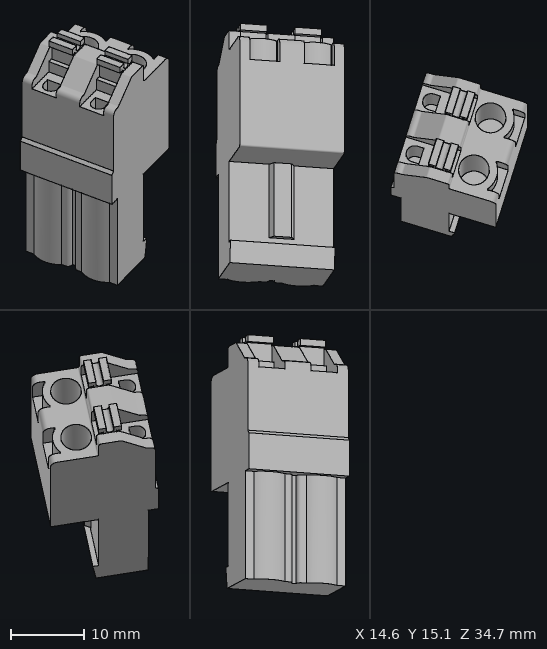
import cadquery as cq
import math


width = 14.62
depth = 15.05
pole_pitch = 7.6
pole_positions = (-pole_pitch / 2, pole_pitch / 2)

body_front = 0.45
slope_foot_y = 1.63
slope_top_y = 5.17
tower_back = 8.35
plug_front = 1.45
latch_tip_y = 9.15
latch_foot_y = 8.7

tower_top = 33.6
shelf_z = 30.7
nose_slope_top = 20.45
nose_slope_foot = 20.0
nose_bottom = 15.0
rear_bottom = 14.65
latch_top = 3.1
latch_slope_top = 2.65

front_round = 0.87
rear_round = 0.97
tower_back_round = 0.4
tower_base_round = 0.25
slope_round = 0.35
rear_bottom_round = 0.3

dome_half_width = 2.22
dome_rise = 0.7
groove_half_width = 0.95
groove_round = 0.6
groove_depth = 0.75
back_rib_bottom = 4.1
back_rib_base = 3.47
back_rib_side_angle = 33.0

pocket_width = 3.82
ledge_front = 4.85
ledge_z = 31.15
pocket_floor = 29.38

wire_hole_diameter = 4.17
wire_hole_y = 10.8
wire_hole_depth = 10.42
test_hole_width = 2.3
test_hole_back = 3.3
test_hole_arc_y = 2.33
test_hole_depth = 6.95
recess_arc_radius = 3.23
recess_corner = 0.1
recess_depth = 3.47

lever_top = 34.73
lever_width = 3.7
head_depth = 3.15
head_bottom = 33.75
stem_depth = 1.77
slot_width = 1.05
slot_wall_depth = 0.73
slot_round_depth = 0.35
lever_y = ledge_front + head_depth / 2


def make_housing_block():
    """Side profile extruded over the full width, with the edges along X rounded."""
    block = (
        cq.Workplane("YZ")
        .workplane(offset=-width / 2)
        .moveTo(plug_front, 0)
        .lineTo(latch_foot_y, 0)
        .lineTo(latch_tip_y, latch_slope_top)
        .lineTo(latch_tip_y, latch_top)
        .lineTo(tower_back, latch_top)
        .lineTo(tower_back, rear_bottom)
        .lineTo(depth, rear_bottom)
        .lineTo(depth, shelf_z)
        .lineTo(tower_back, shelf_z)
        .lineTo(tower_back, tower_top)
        .lineTo(slope_top_y, tower_top)
        .lineTo(slope_foot_y, shelf_z)
        .lineTo(body_front, shelf_z)
        .lineTo(body_front, nose_slope_top)
        .lineTo(0, nose_slope_foot)
        .lineTo(0, nose_bottom)
        .lineTo(plug_front, nose_bottom)
        .close()
        .extrude(width)
    )
    rounds = [
        (depth, rear_bottom, rear_bottom_round),
        (depth, shelf_z, rear_round),
        (tower_back, shelf_z, tower_base_round),
        (tower_back, tower_top, tower_back_round),
        (slope_top_y, tower_top, slope_round),
        (slope_foot_y, shelf_z, slope_round),
        (body_front, shelf_z, front_round),
    ]
    for y, z, radius in rounds:
        edge = cq.selectors.NearestToPointSelector((0, y, z))
        block = block.edges(edge).fillet(radius)
    return block


def make_dome(x):
    """Shallow cylindrical bulge on the front of the plug."""
    return (
        cq.Workplane("XY")
        .moveTo(x - dome_half_width, plug_front)
        .threePointArc((x, plug_front - dome_rise), (x + dome_half_width, plug_front))
        .close()
        .extrude(nose_bottom)
    )


def make_groove():
    """Groove with rounded lips, between the two domes."""
    floor_half_width = groove_half_width - groove_round
    lip_y = plug_front + groove_round
    floor_y = plug_front + groove_depth
    return (
        cq.Workplane("XY")
        .moveTo(-groove_half_width, plug_front)
        .radiusArc((-floor_half_width, lip_y), -groove_round)
        .lineTo(-floor_half_width, floor_y)
        .lineTo(floor_half_width, floor_y)
        .lineTo(floor_half_width, lip_y)
        .radiusArc((groove_half_width, plug_front), -groove_round)
        .close()
        .extrude(nose_bottom)
    )


def make_back_rib():
    """Tapered guide rib on the back of the plug, above the latch."""
    rise = latch_tip_y - tower_back
    base_half = back_rib_base / 2
    tip_half = base_half - rise * math.tan(math.radians(back_rib_side_angle))
    return (
        cq.Workplane("XY")
        .workplane(offset=back_rib_bottom)
        .moveTo(-base_half, tower_back)
        .lineTo(base_half, tower_back)
        .lineTo(tip_half, latch_tip_y)
        .lineTo(-tip_half, latch_tip_y)
        .close()
        .extrude(rear_bottom - back_rib_bottom)
    )


def make_pocket(x):
    """Stepped pocket: a ledge for the lever at the back and a lower floor at the front."""
    return (
        cq.Workplane("YZ")
        .workplane(offset=x - pocket_width / 2)
        .moveTo(0, pocket_floor)
        .lineTo(ledge_front, pocket_floor)
        .lineTo(ledge_front, ledge_z)
        .lineTo(tower_back, ledge_z)
        .lineTo(tower_back, tower_top)
        .lineTo(0, tower_top)
        .close()
        .extrude(pocket_width)
    )


def make_wire_hole(x):
    """Round blind hole in the shelf."""
    return (
        cq.Workplane("XY")
        .workplane(offset=shelf_z)
        .center(x, wire_hole_y)
        .circle(wire_hole_diameter / 2)
        .extrude(-wire_hole_depth)
    )


def make_test_hole(x):
    """D-shaped blind hole in the pocket floor, round towards the front."""
    radius = test_hole_width / 2
    return (
        cq.Workplane("XY")
        .workplane(offset=pocket_floor)
        .moveTo(x - radius, test_hole_back)
        .lineTo(x - radius, test_hole_arc_y)
        .threePointArc((x, test_hole_arc_y - radius), (x + radius, test_hole_arc_y))
        .lineTo(x + radius, test_hole_back)
        .close()
        .extrude(-test_hole_depth)
    )


def make_back_recess(x):
    """Recess in the top back edge, curved around the wire hole, with bevelled corners."""
    half_width = wire_hole_diameter / 2
    arc_half_width = half_width - recess_corner
    arc_end_y = wire_hole_y + math.sqrt(recess_arc_radius**2 - arc_half_width**2)
    side_end_y = arc_end_y + recess_corner
    return (
        cq.Workplane("XY")
        .workplane(offset=shelf_z)
        .moveTo(x - half_width, depth)
        .lineTo(x - half_width, side_end_y)
        .lineTo(x - arc_half_width, arc_end_y)
        .threePointArc((x, wire_hole_y + recess_arc_radius), (x + arc_half_width, arc_end_y))
        .lineTo(x + half_width, side_end_y)
        .lineTo(x + half_width, depth)
        .close()
        .extrude(-recess_depth)
    )


def make_housing():
    body = make_housing_block().cut(make_groove()).union(make_back_rib())
    for x in pole_positions:
        body = body.union(make_dome(x))
        body = body.cut(make_pocket(x))
        body = body.cut(make_wire_hole(x))
        body = body.cut(make_test_hole(x))
        body = body.cut(make_back_recess(x))
    return body


def make_lever(x):
    """T-shaped lever standing on the pocket ledge, with a round-bottomed slot across its head."""
    head_half = head_depth / 2
    stem_half = stem_depth / 2
    slot_half = slot_width / 2
    slot_wall_end = lever_top - slot_wall_depth
    return (
        cq.Workplane("YZ")
        .workplane(offset=x - lever_width / 2)
        .moveTo(lever_y - stem_half, ledge_z)
        .lineTo(lever_y + stem_half, ledge_z)
        .lineTo(lever_y + stem_half, head_bottom)
        .lineTo(lever_y + head_half, head_bottom)
        .lineTo(lever_y + head_half, lever_top)
        .lineTo(lever_y + slot_half, lever_top)
        .lineTo(lever_y + slot_half, slot_wall_end)
        .threePointArc(
            (lever_y, slot_wall_end - slot_round_depth),
            (lever_y - slot_half, slot_wall_end),
        )
        .lineTo(lever_y - slot_half, lever_top)
        .lineTo(lever_y - head_half, lever_top)
        .lineTo(lever_y - head_half, head_bottom)
        .lineTo(lever_y - stem_half, head_bottom)
        .close()
        .extrude(lever_width)
    )


housing = make_housing()
levers = [make_lever(x) for x in pole_positions]

result = cq.Compound.makeCompound([housing.val(), *[lever.val() for lever in levers]])